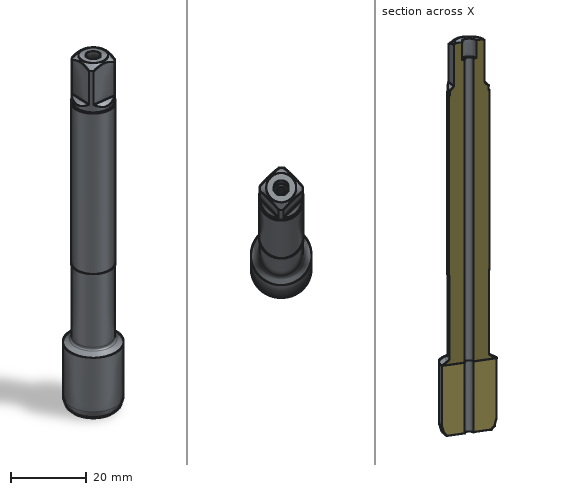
import cadquery as cq
import math

total_length = 110.0
thread_length = 20.0
shank_start = 45.0
collar_start = 95.6

thread_diameter = 16.22
neck_diameter = 11.7
shank_diameter = 12.0
collar_diameter = 11.52
coolant_diameter = 2.5
socket_diameter = 4.0
socket_depth = 5.0

lead_length = 3.0
lead_end_diameter = 15.0
end_chamfer_length = 1.0
end_diameter = 13.0

shoulder_angle = math.radians(30)
neck_fillet_radius = 1.0

square_width = 9.0
square_length = 12.0
tip_diameter = 8.0
tip_chamfer_length = 1.45


def make_head():
    """Cutting head with a tapered lead and a through coolant hole."""
    profile = (
        cq.Workplane("XZ")
        .moveTo(coolant_diameter / 2, 0)
        .lineTo(end_diameter / 2, 0)
        .lineTo(lead_end_diameter / 2, end_chamfer_length)
        .lineTo(thread_diameter / 2, lead_length)
        .lineTo(thread_diameter / 2, thread_length)
        .lineTo(coolant_diameter / 2, thread_length)
        .close()
    )
    return profile.revolve(360, (0, 0, 0), (0, 1, 0))


def make_shank_blank():
    """Round shank: shoulder cone, fillet, neck, grip, collar and chamfered tip."""
    thread_radius = thread_diameter / 2
    neck_radius = neck_diameter / 2
    shank_radius = shank_diameter / 2
    collar_radius = collar_diameter / 2

    fillet_start_radius = neck_radius + neck_fillet_radius * (1 - math.sin(shoulder_angle))
    fillet_start = thread_length + (thread_radius - fillet_start_radius) * math.tan(shoulder_angle)
    fillet_end = fillet_start + neck_fillet_radius * math.cos(shoulder_angle)
    half_turn = (math.pi / 2 - shoulder_angle) / 2
    fillet_middle = (
        neck_radius + neck_fillet_radius * (1 - math.cos(half_turn)),
        fillet_end - neck_fillet_radius * math.sin(half_turn),
    )

    neck_end = shank_start - (shank_radius - neck_radius)
    shank_end = collar_start - (shank_radius - collar_radius)
    profile = (
        cq.Workplane("XZ")
        .moveTo(0, thread_length)
        .lineTo(thread_radius, thread_length)
        .lineTo(fillet_start_radius, fillet_start)
        .threePointArc(fillet_middle, (neck_radius, fillet_end))
        .lineTo(neck_radius, neck_end)
        .lineTo(shank_radius, shank_start)
        .lineTo(shank_radius, shank_end)
        .lineTo(collar_radius, collar_start)
        .lineTo(collar_radius, total_length - tip_chamfer_length)
        .lineTo(tip_diameter / 2, total_length)
        .lineTo(0, total_length)
        .close()
    )
    return profile.revolve(360, (0, 0, 0), (0, 1, 0))


def make_flat_cutter():
    """Prism that mills one flat of the driving square, with a 45 degree run-out."""
    flat_offset = square_width / 2
    flat_bottom = total_length - square_length
    outer_offset = shank_diameter / 2
    runout = outer_offset - flat_offset
    return (
        cq.Workplane("XZ")
        .moveTo(flat_offset, total_length)
        .lineTo(flat_offset, flat_bottom)
        .lineTo(outer_offset, flat_bottom - runout)
        .lineTo(outer_offset, total_length)
        .close()
        .extrude(outer_offset, both=True)
    )


def make_shank():
    """Shank with four flats, the coolant hole and the wider socket at the top."""
    shank = make_shank_blank()
    for side in range(4):
        shank = shank.cut(make_flat_cutter().rotate((0, 0, 0), (0, 0, 1), 90 * side))
    coolant_hole = cq.Workplane("XY").circle(coolant_diameter / 2).extrude(total_length)
    socket = (
        cq.Workplane("XY", origin=(0, 0, total_length - socket_depth))
        .circle(socket_diameter / 2)
        .extrude(socket_depth)
    )
    return shank.cut(coolant_hole).cut(socket)


head = make_head()
shank = make_shank()

result = cq.Compound.makeCompound([head.val(), shank.val()])